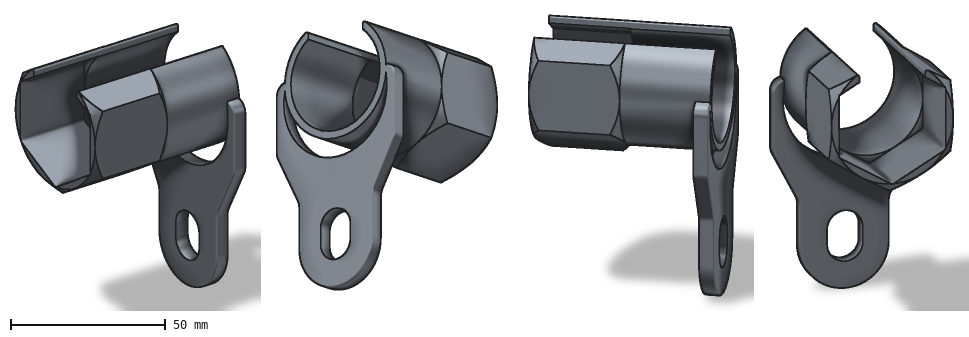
import cadquery as cq
import math


overall_height = 86.8

total_length = 60.0
head_length = 30.0
outer_radius = 20.5
bore_radius = 18.0
recess_depth = 26.65
recess_corner_radius = 0.8
slot_width = 22.05
lip_radius = 0.8

plate_thickness = 5.0
plate_width = 48.0
plate_top = 1.6
ear_radius = 4.7
taper_top = -22.9
taper_bottom = -40.1
taper_radius = 5.0
tongue_radius = 14.9
plate_edge_radius = 0.5
relief_radius = 20.8
relief_center = -5.9
hole_width = 12.0
hole_length = 17.0
hole_center = -52.4

front = -total_length
head_back = front + head_length
flat_slope = 30

slope_sin = math.sin(math.radians(flat_slope))
slope_cos = math.cos(math.radians(flat_slope))
slot_half = slot_width / 2
flat_height_at_slot = (outer_radius - slot_half * slope_sin) / slope_cos
lip_x = slot_half + lip_radius
lip_z = flat_height_at_slot - lip_radius * (1 + slope_sin) / slope_cos
tongue_center = lip_z + lip_radius - overall_height + tongue_radius


def section_at(y):
    """XZ sketch plane at the given y; extrusion goes toward -Y."""
    return cq.Workplane("XZ", origin=(0, y, 0))


def hexagon(apothem, y, length):
    """Hexagonal bar with corners pointing up and down."""
    corner_diameter = 2 * apothem / slope_cos
    return section_at(y).transformed(rotate=(0, 0, flat_slope)).polygon(6, corner_diameter).extrude(length)


def bevel_envelope():
    """Round body with 45-degree cones that trims the corners at both ends of the head."""
    reach = head_length / 2
    return (
        cq.Workplane("XY")
        .moveTo(0, front)
        .lineTo(outer_radius, front)
        .lineTo(outer_radius + reach, front + reach)
        .lineTo(outer_radius, head_back)
        .lineTo(0, head_back)
        .close()
        .revolve(360, (0, 0, 0), (0, 1, 0))
    )


def build_socket():
    """Solid tube and bevelled head, before the bore and top slot are cut."""
    tube = section_at(0).circle(outer_radius).extrude(total_length - head_length)
    head = hexagon(outer_radius, head_back, head_length).intersect(bevel_envelope())
    return tube.union(head)


def build_cavity():
    """Through bore and the hexagonal recess in the head."""
    bore = section_at(0).circle(bore_radius).extrude(total_length)
    recess = hexagon(bore_radius, front + recess_depth, recess_depth)
    return bore.union(recess.edges("|Y").fillet(recess_corner_radius))


def build_slot():
    """Top opening; its flared sides leave the socket's lips rounded."""
    mid = (lip_x - lip_radius * slope_sin, lip_z + lip_radius * slope_cos)
    end = (lip_x + lip_radius * slope_sin, lip_z + lip_radius * slope_cos)
    clear_height = 2 * outer_radius
    return (
        section_at(0)
        .moveTo(-slot_half, 0)
        .lineTo(slot_half, 0)
        .lineTo(slot_half, lip_z)
        .threePointArc(mid, end)
        .lineTo(end[0], clear_height)
        .lineTo(-end[0], clear_height)
        .lineTo(-end[0], end[1])
        .threePointArc((-mid[0], mid[1]), (-slot_half, lip_z))
        .close()
        .extrude(total_length)
    )


def build_plate():
    """Hanger plate with rounded outline, clearance under the tube and a slotted hole."""
    half = plate_width / 2
    plate = (
        section_at(0)
        .moveTo(-half, plate_top)
        .lineTo(half, plate_top)
        .lineTo(half, taper_top)
        .lineTo(tongue_radius, taper_bottom)
        .lineTo(tongue_radius, tongue_center)
        .threePointArc((0, tongue_center - tongue_radius), (-tongue_radius, tongue_center))
        .lineTo(-tongue_radius, taper_bottom)
        .lineTo(-half, taper_top)
        .close()
        .extrude(plate_thickness)
    )
    taper_edges = cq.selectors.BoxSelector(
        (-plate_width, -plate_thickness, tongue_center + plate_edge_radius),
        (plate_width, 0, plate_top - ear_radius),
    )
    plate = plate.faces(">Z").edges("|Y").fillet(ear_radius)
    plate = plate.edges("|Y").edges(taper_edges).fillet(taper_radius)
    plate = plate.faces("<Y or >Y").edges().fillet(plate_edge_radius)

    relief = section_at(0).center(0, relief_center).circle(relief_radius).extrude(plate_thickness)
    hole = section_at(0).center(0, hole_center).slot2D(hole_length, hole_width, 90).extrude(plate_thickness)
    return plate.cut(relief).cut(hole)


result = build_plate().union(build_socket()).cut(build_cavity()).cut(build_slot())